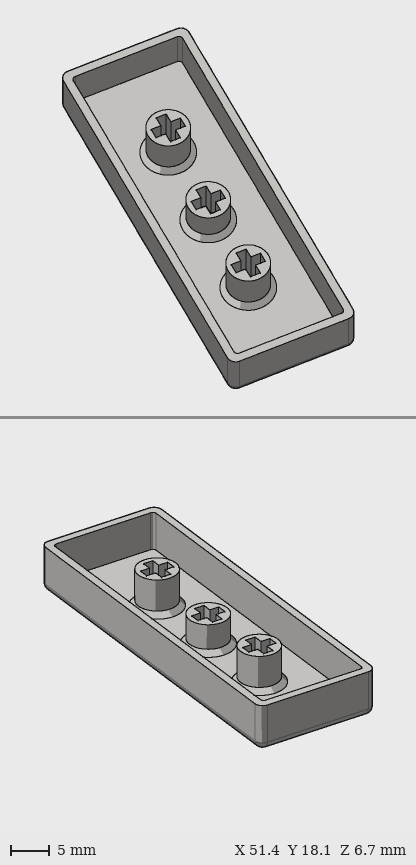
import cadquery as cq

length = 51.4
width = 18.05
height = 6.7
wall = 1.2
floor = 1.2
outer_radius = 1.2
bottom_radius = 1.15
inner_radius = 0.5

stem_count = 3
stem_pitch = 11.95
stem_diameter = 5.8
middle_stem_top = 5.6
outer_stem_top = 6.6
base_flare = 0.75
cross_length = 4.2
cross_slot = 1.45


def make_tray():
    """Open tray with rounded corners and a rounded lower edge."""
    body = cq.Workplane("XY").box(length, width, height, centered=(True, True, False))
    body = body.edges("|Z").fillet(outer_radius).faces("<Z").edges().fillet(bottom_radius)
    pocket = (
        cq.Workplane("XY")
        .workplane(offset=floor)
        .rect(length - 2 * wall, width - 2 * wall)
        .extrude(height - floor)
        .edges("|Z")
        .fillet(inner_radius)
    )
    return body.cut(pocket)


def make_stem(x, stem_top):
    """Round post that flares out at 45 degrees where it meets the floor."""
    foot = floor / 2
    radius = stem_diameter / 2
    profile = [
        (0, foot),
        (radius + base_flare, foot),
        (radius + base_flare, floor),
        (radius, floor + base_flare),
        (radius, stem_top),
        (0, stem_top),
    ]
    return cq.Workplane("XZ").polyline(profile).close().revolve(360, (0, 0), (0, 1)).translate((x, 0, 0))


def make_cross_socket(x, stem_top):
    """Cross-shaped cutter from the floor to the top of the stem."""
    plane = cq.Workplane("XY").workplane(offset=floor).center(x, 0)
    depth = stem_top - floor
    along_x = plane.rect(cross_length, cross_slot).extrude(depth)
    along_y = plane.rect(cross_slot, cross_length).extrude(depth)
    return along_x.union(along_y)


result = make_tray()
middle_index = (stem_count - 1) / 2
for index in range(stem_count):
    stem_x = (index - middle_index) * stem_pitch
    stem_top = middle_stem_top if index == middle_index else outer_stem_top
    result = result.union(make_stem(stem_x, stem_top))
    result = result.cut(make_cross_socket(stem_x, stem_top))